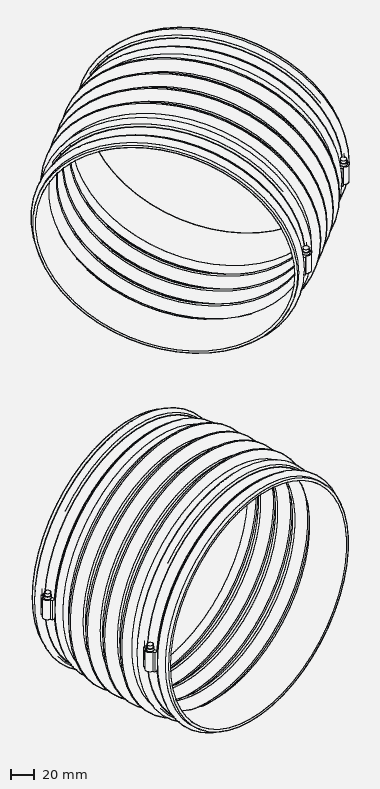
import cadquery as cq
import math

LENGTH = 150.0
BORE_R = 225.0 / 2
CUFF_R = 230.0 / 2
SEAT_R = 229.0 / 2

CREST_R = 242.92 / 2
VALLEY_R = 113.75
FOLD_WALL = 3.35
FOLD_COUNT = 4
FOLD_PITCH = 18.85
CREST_FLAT = 1.65
VALLEY_FLAT = 2.5
RAMP_LENGTH = 1.6
RAMP_RISE = 0.4

BEAD_R = 4.0
BEAD_FILLET = 2.5
INNER_BEAD_Y = 45.2
OUTER_BEAD_Y = 67.5

CLAMP_Y = (INNER_BEAD_Y + OUTER_BEAD_Y) / 2
BAND_WIDTH = 10.5
BAND_R = CUFF_R
HOUSING_WIDTH = 12.3
HOUSING_TOP_X = 118.0
HOUSING_LENGTH = 20.0
VAULT_R = 3.9
VAULT_X = CREST_R - VAULT_R
COLLAR_R = 3.2
COLLAR_X = 117.0
COLLAR_LENGTH = 2.5
HEAD_R = 2.6
HEAD_X = 116.8
HEAD_LENGTH = 3.0

FLANK_WIDTH = (FOLD_PITCH - CREST_FLAT - VALLEY_FLAT) / 2
FLANK_SLOPE = (CREST_R - VALLEY_R) / FLANK_WIDTH
CREST_YS = [(i - (FOLD_COUNT - 1) / 2) * FOLD_PITCH for i in range(FOLD_COUNT)]


def revolve_about_y(profile):
    """Revolve a profile drawn with X as radius around the Y axis."""
    return profile.close().revolve(360, (0, 0, 0), (0, 1, 0))


def tube_solid(end_r, crest_r):
    """Solid of revolution with plain ends of radius end_r and folds that rise to crest_r."""
    half = LENGTH / 2
    valley_r = crest_r - (CREST_R - VALLEY_R)
    ramp_top_r = end_r + RAMP_RISE
    ramp_top_y = CREST_YS[-1] + CREST_FLAT / 2 + (crest_r - ramp_top_r) / FLANK_SLOPE
    ramp_foot_y = ramp_top_y + RAMP_LENGTH
    points = [(0, -half), (end_r, -half), (end_r, -ramp_foot_y), (ramp_top_r, -ramp_top_y)]
    for y in CREST_YS:
        if y != CREST_YS[0]:
            points.append((valley_r, y - FOLD_PITCH / 2 + VALLEY_FLAT / 2))
        points.append((crest_r, y - CREST_FLAT / 2))
        points.append((crest_r, y + CREST_FLAT / 2))
        if y != CREST_YS[-1]:
            points.append((valley_r, y + FOLD_PITCH / 2 - VALLEY_FLAT / 2))
    points += [(ramp_top_r, ramp_top_y), (end_r, ramp_foot_y), (end_r, half), (0, half)]
    return revolve_about_y(cq.Workplane("XY").polyline(points))


def ring(inner_r, outer_r, width):
    """Ring of rectangular section centred on the clamp."""
    outline = cq.Workplane("XZ", origin=(0, CLAMP_Y + width / 2, 0))
    return outline.circle(outer_r).circle(inner_r).extrude(width)


def make_seat_groove():
    """Ring cut between the beads, down to the clamp seat."""
    return ring(SEAT_R, CREST_R, OUTER_BEAD_Y - INNER_BEAD_Y)


def make_bead(y, seat_side):
    """Half-round bead, blended by a fillet into the seat on one side (+1 or -1 along Y)."""
    center_distance = BEAD_R + BEAD_FILLET
    fillet_r = SEAT_R + BEAD_FILLET
    fillet_offset = math.sqrt(center_distance**2 - BEAD_FILLET**2)
    fillet_y = y + seat_side * fillet_offset
    tangent_share = BEAD_R / center_distance
    tangent = (SEAT_R + BEAD_FILLET * tangent_share, y + seat_side * fillet_offset * tangent_share)
    half_angle = math.acos(BEAD_FILLET / center_distance) / 2
    fillet_mid = (
        fillet_r - BEAD_FILLET * math.cos(half_angle),
        fillet_y - seat_side * BEAD_FILLET * math.sin(half_angle),
    )
    profile = (
        cq.Workplane("XY")
        .moveTo(BORE_R, y - seat_side * BEAD_R)
        .lineTo(SEAT_R, y - seat_side * BEAD_R)
        .threePointArc((SEAT_R + BEAD_R, y), tangent)
        .threePointArc(fillet_mid, (SEAT_R, fillet_y))
        .lineTo(BORE_R, fillet_y)
    )
    return revolve_about_y(profile)


def post(radius, x, start_z, length):
    """Round post along Z at the clamp."""
    return cq.Workplane("XY", origin=(x, CLAMP_Y, start_z)).circle(radius).extrude(length)


def make_clamp():
    """Band with the screw housing, the screw collar and the screw head."""
    band = ring(BORE_R, BAND_R, BAND_WIDTH)
    half = HOUSING_LENGTH / 2
    depth = HOUSING_TOP_X - BORE_R
    base = cq.Workplane("XY").box(depth, HOUSING_WIDTH, HOUSING_LENGTH, centered=(False, True, True))
    base = base.translate((BORE_R, CLAMP_Y, 0))
    vault = post(VAULT_R, VAULT_X, -half, HOUSING_LENGTH)
    collar = post(COLLAR_R, COLLAR_X, half, COLLAR_LENGTH)
    head = post(HEAD_R, HEAD_X, half + COLLAR_LENGTH, HEAD_LENGTH)
    return band.union(base).union(vault).union(collar).union(head)


outside = tube_solid(CUFF_R, CREST_R)
inside = tube_solid(BORE_R, CREST_R - FOLD_WALL)
groove = make_seat_groove()
body = outside.cut(groove).cut(groove.mirror("XZ"))
fittings = make_bead(INNER_BEAD_Y, 1).union(make_bead(OUTER_BEAD_Y, -1)).union(make_clamp())
result = body.union(fittings).union(fittings.mirror("XZ")).cut(inside)